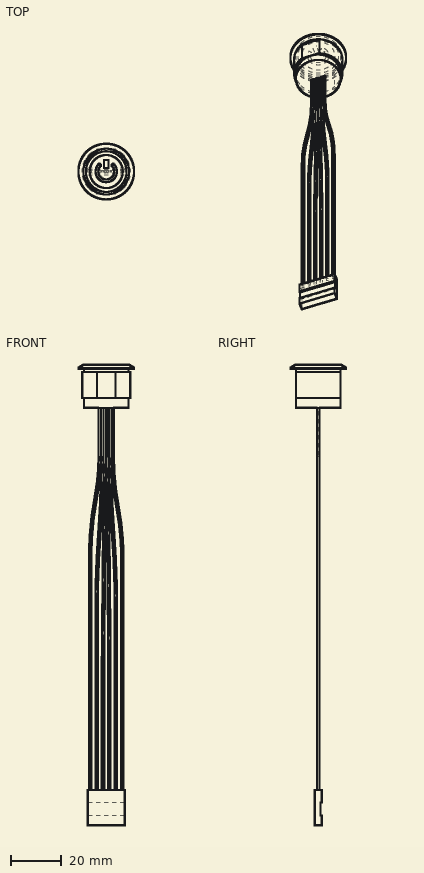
import cadquery as cq
import math

shank_dia = 17.6
button_height = 17.0
flange_dia = 22.0
flange_edge = 0.5
flange_bevel_height = 1.2
flange_top_dia = 18.0
band_dia = 19.0
band_bottom = 3.9
band_height = 10.3

mark_depth = 0.05
groove_outer_dia = 16.0
groove_inner_dia = 13.0
symbol_outer_dia = 8.4
symbol_inner_dia = 6.2
symbol_opening_angle = 80.0
symbol_bar_width = 1.6
symbol_bar_bottom = 1.4
symbol_bar_top = 4.6

wire_count = 6
wire_dia = 1.0
cable_length = 150.0
ribbon_length = 19.0
ribbon_web_thickness = 0.3
wire_clearance = 0.02
ribbon_pitch = wire_dia + wire_clearance
connector_pitch = 2.54
shortest_fan_length = 40.0
fan_length_step = 20.0
even_bend_share = 0.5
first_wire_bend_share = 0.4

connector_side_margin = 1.0
connector_width = (wire_count - 1) * connector_pitch + 2 * connector_side_margin
connector_thickness = 2.8
connector_height = 14.0
notch_depth = 0.5
notch_length = 5.0
notch_from_top = 5.0


def disc(diameter, height, bottom):
    return cq.Workplane("XY").workplane(offset=bottom).circle(diameter / 2).extrude(height)


def ring(outer_dia, inner_dia, height, bottom):
    return disc(outer_dia, height, bottom).cut(disc(inner_dia, height, bottom))


def make_flange():
    top_radius = flange_top_dia / 2
    radius = flange_dia / 2
    bevel_bottom = button_height - flange_bevel_height
    rim_bottom = bevel_bottom - flange_edge
    profile = [
        (0, rim_bottom),
        (radius, rim_bottom),
        (radius, bevel_bottom),
        (top_radius, button_height),
        (0, button_height),
    ]
    return cq.Workplane("XZ").polyline(profile).close().revolve(360, (0, 0, 0), (0, 1, 0))


def make_band():
    """Band around the shank, with flats on -Y and +Y level with the shank."""
    flats = cq.Workplane("XY").workplane(offset=band_bottom).rect(band_dia, shank_dia).extrude(band_height)
    return disc(band_dia, band_height, band_bottom).intersect(flats)


def make_power_symbol(bottom):
    """Open arc with a vertical bar in its gap."""
    half_gap = math.radians(symbol_opening_angle / 2)
    reach = symbol_outer_dia
    gap = (
        cq.Workplane("XY")
        .workplane(offset=bottom)
        .polyline([
            (0, 0),
            (reach * math.sin(half_gap), reach * math.cos(half_gap)),
            (-reach * math.sin(half_gap), reach * math.cos(half_gap)),
        ])
        .close()
        .extrude(mark_depth)
    )
    bar = (
        cq.Workplane("XY")
        .workplane(offset=bottom)
        .center(0, (symbol_bar_bottom + symbol_bar_top) / 2)
        .rect(symbol_bar_width, symbol_bar_top - symbol_bar_bottom)
        .extrude(mark_depth)
    )
    return ring(symbol_outer_dia, symbol_inner_dia, mark_depth, bottom).cut(gap).union(bar)


def make_button():
    mark_bottom = button_height - mark_depth
    body = disc(shank_dia, button_height - flange_bevel_height, 0).union(make_flange()).union(make_band())
    body = body.cut(ring(groove_outer_dia, groove_inner_dia, mark_depth, mark_bottom))
    return body.cut(make_power_symbol(mark_bottom))


def fan_out(path, start, end, upper_share):
    """Continue a downward path with an S-bend of two tangent arcs that meet on its chord."""
    bend_change = (
        start[0] + upper_share * (end[0] - start[0]),
        start[1] + upper_share * (end[1] - start[1]),
    )
    return path.tangentArcPoint(bend_change, relative=False).tangentArcPoint(end, relative=False)


def make_wire(index):
    """One wire: straight in the ribbon, spreading outwards, then straight to the connector.

    The middle pair spreads along slanted lines, the other wires along S-bends.
    """
    place = index - (wire_count - 1) / 2
    pairs_from_outside = min(index, wire_count - 1 - index)
    is_middle_pair = abs(place) < 1
    fan_length = shortest_fan_length + pairs_from_outside * fan_length_step
    fan_start = (place * ribbon_pitch, -ribbon_length)
    fan_end = (place * connector_pitch, -ribbon_length - fan_length)

    path = cq.Workplane("XZ").moveTo(fan_start[0], 0).lineTo(*fan_start)
    if is_middle_pair:
        path = path.lineTo(*fan_end)
    else:
        upper_share = first_wire_bend_share if index == 0 else even_bend_share
        path = fan_out(path, fan_start, fan_end, upper_share)
    path = path.lineTo(fan_end[0], -cable_length)

    section = cq.Workplane("XY").center(fan_start[0], 0).circle(wire_dia / 2)
    return section.sweep(path, transition="right")


def make_cable():
    web_width = (wire_count - 1) * ribbon_pitch
    cable = cq.Workplane("XY").rect(web_width, ribbon_web_thickness).extrude(-ribbon_length)
    for index in range(wire_count):
        cable = cable.union(make_wire(index))
    return cable


def make_connector():
    block = (
        cq.Workplane("XY")
        .workplane(offset=-cable_length)
        .rect(connector_width, connector_thickness)
        .extrude(-connector_height)
    )
    notch = (
        cq.Workplane("XY")
        .workplane(offset=-cable_length - notch_from_top)
        .center(0, (connector_thickness - notch_depth) / 2)
        .rect(connector_width, notch_depth)
        .extrude(-notch_length)
    )
    return block.cut(notch)


button = make_button()
cable = make_cable()
connector = make_connector()

result = cq.Compound.makeCompound([button.val(), cable.val(), connector.val()])